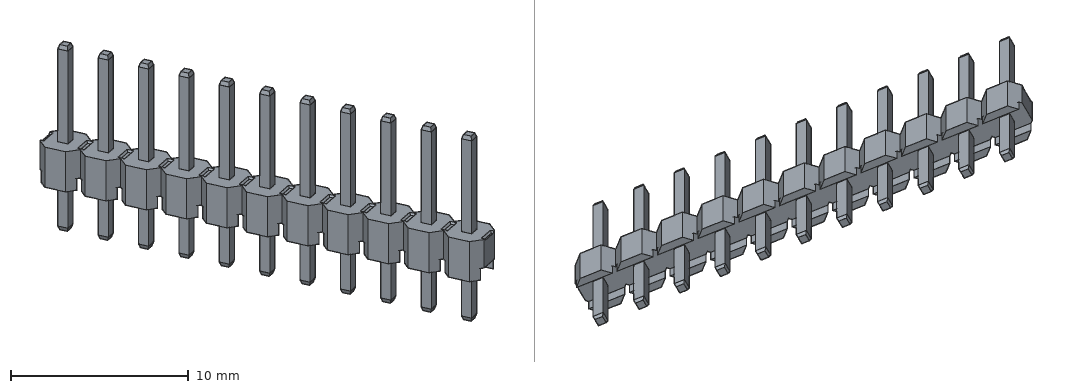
import cadquery as cq

pin_count = 11
length = 27.95
pitch = length / pin_count
body_depth = pitch
body_height = 2.51

corner_size = 0.61

channel_width = 1.6
channel_height = 0.73

notch_length = 1.12
notch_width = 0.42
notch_depth = 0.1
notch_wall_slope = 45

pin_width = 0.65
pin_height = 11.6
pin_below_body = 3.02
tip_height = 0.25
tip_inset = 0.08


def cell_center(index):
    """X position of a cell in the row, which is centered on the origin."""
    return (index - (pin_count - 1) / 2) * pitch


def make_cell(x):
    """Octagonal housing block around one pin, standing on Z = 0."""
    cell = (
        cq.Workplane("XY")
        .box(pitch, body_depth, body_height, centered=(True, True, False))
        .edges("|Z")
        .chamfer(corner_size)
    )
    return cell.translate((x, 0, 0))


def make_notch(x):
    """Cutter for a break notch: a rectangular pocket narrowing downward on all four sides."""
    return (
        cq.Workplane("XY", origin=(x, 0, body_height))
        .rect(notch_width, notch_length)
        .extrude(-notch_depth, taper=notch_wall_slope)
    )


def make_pin(x):
    """Square pin through the housing, tapered on all four sides at both tips."""
    pin = (
        cq.Workplane("XY")
        .box(pin_width, pin_width, pin_height, centered=(True, True, False))
        .faces("<Z or >Z")
        .chamfer(tip_height, tip_inset)
    )
    return pin.translate((x, 0, -pin_below_body))


result = make_cell(cell_center(0))
for i in range(1, pin_count):
    result = result.union(make_cell(cell_center(i)))

channel = cq.Workplane("XY").box(length, channel_width, channel_height, centered=(True, True, False))
result = result.cut(channel)

for i in range(pin_count + 1):
    result = result.cut(make_notch(cell_center(i) - pitch / 2))

for i in range(pin_count):
    result = result.union(make_pin(cell_center(i)))